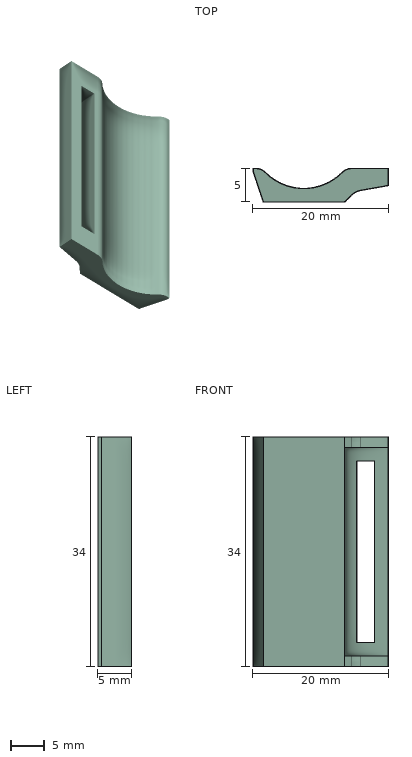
import cadquery as cq
import math

width = 20.0
depth = 5.0
height = 34.0

left_side_depth = 0.55
front_left = 1.5
front_right = 13.53
tab_thickness = 2.55
tab_underside_angle = 10.0
neck_angle = 45.0
neck_radius = 2.5

trough_x = 7.48
trough_floor = 2.05
trough_radius = 8.0
lip_radius = 2.0

recess_margin = 1.55
slot_left = 15.35
slot_right = 17.92
slot_margin = 3.6

tab_edge_y = depth - tab_thickness

neck_slope = math.tan(math.radians(neck_angle))
underside_slope = math.tan(math.radians(tab_underside_angle))
underside_rise = tab_edge_y - underside_slope * (width - front_right)
neck_x = front_right + underside_rise / (neck_slope - underside_slope)
neck_y = neck_slope * (neck_x - front_right)

trough_center_y = trough_floor + trough_radius
lip_center_y = depth - lip_radius
lip_drop = trough_center_y - lip_center_y
center_distance = trough_radius + lip_radius
lip_offset = math.sqrt(center_distance**2 - lip_drop**2)
lip_sweep = math.acos(lip_drop / center_distance)
join_offset = trough_radius * math.sin(lip_sweep)
join_y = trough_center_y - trough_radius * math.cos(lip_sweep)
lip_mid_offset = lip_offset - lip_radius * math.sin(lip_sweep / 2)
lip_mid_y = lip_center_y + lip_radius * math.cos(lip_sweep / 2)


def make_body():
    """Extrude the outline along Z and round the neck."""
    outline = (
        cq.Workplane("XY")
        .moveTo(0, depth)
        .lineTo(0, depth - left_side_depth)
        .lineTo(front_left, 0)
        .lineTo(front_right, 0)
        .lineTo(neck_x, neck_y)
        .lineTo(width, tab_edge_y)
        .lineTo(width, depth)
        .lineTo(trough_x + lip_offset, depth)
        .threePointArc((trough_x + lip_mid_offset, lip_mid_y), (trough_x + join_offset, join_y))
        .threePointArc((trough_x, trough_floor), (trough_x - join_offset, join_y))
        .threePointArc((trough_x - lip_mid_offset, lip_mid_y), (trough_x - lip_offset, depth))
        .close()
    )
    neck_edge = cq.selectors.NearestToPointSelector((neck_x, neck_y, height / 2))
    return outline.extrude(height).edges(neck_edge).fillet(neck_radius)


def make_cut(left, right, back, end_margin):
    """Box cut from the front face to the given Y, centred along Z."""
    cut = cq.Workplane("XY").box(right - left, back, height - 2 * end_margin, centered=False)
    return cut.translate((left, 0, end_margin))


recess = make_cut(front_right, width, tab_edge_y, recess_margin)
slot = make_cut(slot_left, slot_right, depth, slot_margin)

result = make_body().cut(recess).cut(slot)